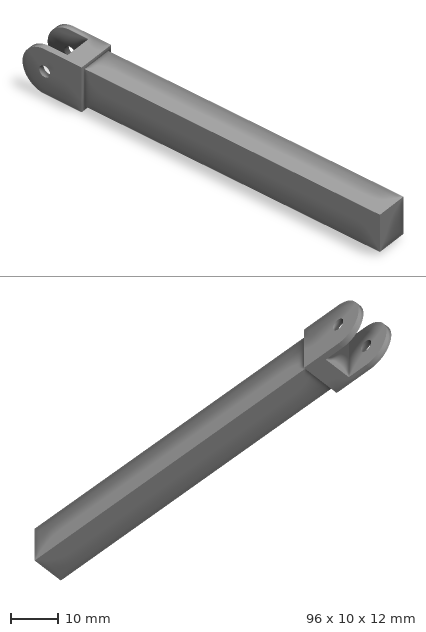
import cadquery as cq

total_length = 96.0
head_length = 16.0
head_width = 10.0
head_height = 12.0
bar_width = 8.0
bar_height = 10.0
slot_width = 7.0
slot_depth = 11.0
pin_diameter = 3.0

end_radius = head_height / 2
tip_x = -end_radius
head_back_x = tip_x + head_length
bar_length = total_length - head_length


def make_head():
    """Fork head: a rounded block, slotted between the ears and cross-drilled."""
    head = (
        cq.Workplane("XZ")
        .moveTo(0, end_radius)
        .lineTo(head_back_x, end_radius)
        .lineTo(head_back_x, -end_radius)
        .lineTo(0, -end_radius)
        .threePointArc((tip_x, 0), (0, end_radius))
        .close()
        .extrude(head_width / 2, both=True)
    )
    slot = (
        cq.Workplane("XY")
        .box(slot_depth, slot_width, head_height, centered=(False, True, True))
        .translate((tip_x, 0, 0))
    )
    pin_hole = cq.Workplane("XZ").circle(pin_diameter / 2).extrude(head_width / 2, both=True)
    return head.cut(slot).cut(pin_hole)


def make_bar():
    """Plain rectangular bar behind the head, centred on its axis."""
    return (
        cq.Workplane("XY")
        .box(bar_length, bar_width, bar_height, centered=(False, True, True))
        .translate((head_back_x, 0, 0))
    )


result = make_head().union(make_bar())